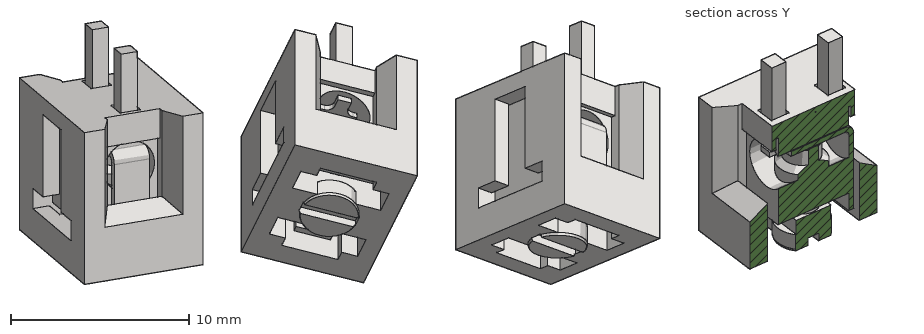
import cadquery as cq


housing_length = 9.0
housing_depth = 7.3
housing_height = 9.2
roof_underside = 8.17
clearance = 0.13

block_width = 5.0
block_bottom = 2.2
bore_radius = 1.54
bore_height = 5.8
pin_width = 1.0
pin_top = 12.7
pin_offset = (block_width - pin_width) / 2

cavity_width = block_width + 2 * clearance

stem_width = 2.47
slot_bottom = 1.97
slot_top = 3.19

entry_inner_x = 3.24
entry_lip_x = 2.93
entry_lip_bottom = 7.41
entry_inner_width = 3.35
entry_outer_width = 4.79
entry_inner_floor = 4.01
entry_outer_floor = 3.26

head_radius = 1.68
head_bottom = -0.15
head_top = 1.0
head_end_radius = 1.63
drive_slot_width = 0.73
drive_slot_depth = 0.51
neck_radius = 1.02
thread_radius = 1.54
thread_top = 5.06
tip_radius = 1.15
tip_cone_top = 5.42
tip_top = 6.51
tip_chamfer = 0.08

leaf_thickness = 0.36
leaf_width = 2.17
leaf_bend_radius = 0.64
leaf_leg_bottom = 1.0
tongue_end_x = -2.58
tongue_length = 1.0
tongue_width = 0.8
tongue_fillet = 0.46


def block(x_size, y_size, z_low, z_high):
    """Upright block centred on the Z axis."""
    return cq.Workplane("XY", origin=(0, 0, z_low)).rect(x_size, y_size).extrude(z_high - z_low)


def at_pins(shape):
    """Copies of a centred shape at both pin positions."""
    return shape.translate((-pin_offset, 0, 0)).union(shape.translate((pin_offset, 0, 0)))


def entry_funnel():
    """Wire entry on the -X end, tapering inwards and open at the top."""

    def section(x, width, floor):
        half = width / 2
        return cq.Wire.makePolygon(
            [
                cq.Vector(x, -half, floor),
                cq.Vector(x, half, floor),
                cq.Vector(x, half, housing_height),
                cq.Vector(x, -half, housing_height),
            ],
            close=True,
        )

    outer = section(-housing_length / 2, entry_outer_width, entry_outer_floor)
    inner = section(-entry_inner_x, entry_inner_width, entry_inner_floor)
    return cq.Workplane(cq.Solid.makeLoft([outer, inner], True))


def make_housing():
    """Housing with its cavity, wire entries, windows and pin holes."""
    body = block(housing_length, housing_depth, 0, housing_height)

    cavity = block(cavity_width, cavity_width, 0, roof_underside)
    channel = block(2 * entry_inner_x, entry_inner_width, 0, entry_lip_bottom)
    web = block(stem_width, cavity_width, 0, slot_bottom)
    body = body.cut(cavity.union(channel).cut(web))

    funnel = entry_funnel()
    gap_length = entry_inner_x - entry_lip_x
    gap = block(gap_length, entry_inner_width, 0, housing_height)
    gap = gap.translate((-(entry_inner_x + entry_lip_x) / 2, 0, 0))
    for cutter in (funnel, gap):
        body = body.cut(cutter).cut(cutter.mirror("YZ"))

    body = body.cut(block(stem_width, housing_depth, slot_bottom, roof_underside))
    body = body.cut(block(cavity_width, housing_depth, slot_bottom, slot_top))

    pin_hole_width = pin_width + 2 * clearance
    return body.cut(at_pins(block(pin_hole_width, pin_hole_width, roof_underside, housing_height)))


def make_clamp_block():
    """Metal block with a cross bore for the wires and the two pins on top."""
    clamp = block(block_width, block_width, block_bottom, roof_underside)
    bore = (
        cq.Workplane("YZ", origin=(-block_width / 2, 0, bore_height))
        .circle(bore_radius)
        .extrude(block_width)
    )
    return clamp.cut(bore).union(at_pins(block(pin_width, pin_width, roof_underside, pin_top)))


def make_screw():
    """Screw about the Z axis; its head tapers where it stands below the housing."""
    profile = [
        (0, head_bottom),
        (head_end_radius, head_bottom),
        (head_radius, 0),
        (head_radius, head_top),
        (neck_radius, head_top),
        (neck_radius, block_bottom),
        (thread_radius, block_bottom),
        (thread_radius, thread_top),
        (tip_radius, tip_cone_top),
        (tip_radius, tip_top - tip_chamfer),
        (tip_radius - tip_chamfer, tip_top),
        (0, tip_top),
    ]
    return cq.Workplane("XZ").polyline(profile).close().revolve(360, (0, 0), (0, 1))


def cut_drive_slot(part):
    """Screwdriver slot across the head, along Y."""
    return part.cut(block(drive_slot_width, 2 * head_radius, head_bottom, head_bottom + drive_slot_depth))


def make_leaf():
    """Strip over the screw tip, bent down along the +X face of the block."""
    leg_inner_x = block_width / 2
    leg_outer_x = leg_inner_x + leaf_thickness
    leaf_top = tip_top + leaf_thickness
    shoulder_x = tongue_end_x + tongue_length

    strip = (
        cq.Workplane("XZ")
        .moveTo(shoulder_x, tip_top)
        .lineTo(leg_inner_x, tip_top)
        .lineTo(leg_inner_x, leaf_leg_bottom)
        .lineTo(leg_outer_x, leaf_leg_bottom)
        .lineTo(leg_outer_x, leaf_top)
        .lineTo(shoulder_x, leaf_top)
        .close()
        .extrude(leaf_width / 2, both=True)
    )
    strip = strip.edges("|Y").edges(">X and >Z").fillet(leaf_bend_radius)
    inner_edge = cq.selectors.NearestToPointSelector((leg_inner_x, 0, tip_top))
    strip = strip.edges("|Y").edges(inner_edge).fillet(leaf_bend_radius - leaf_thickness)

    tongue = block(tongue_length, tongue_width, tip_top, leaf_top)
    tongue = tongue.translate((tongue_end_x + tongue_length / 2, 0, 0))
    leaf = strip.union(tongue)
    for side in (-1, 1):
        corner = cq.selectors.NearestToPointSelector((shoulder_x, side * tongue_width / 2, tip_top))
        leaf = leaf.edges("|Z").edges(corner).fillet(tongue_fillet)
    return leaf


part = make_housing().union(make_clamp_block()).union(make_screw()).union(make_leaf())
result = cut_drive_slot(part)